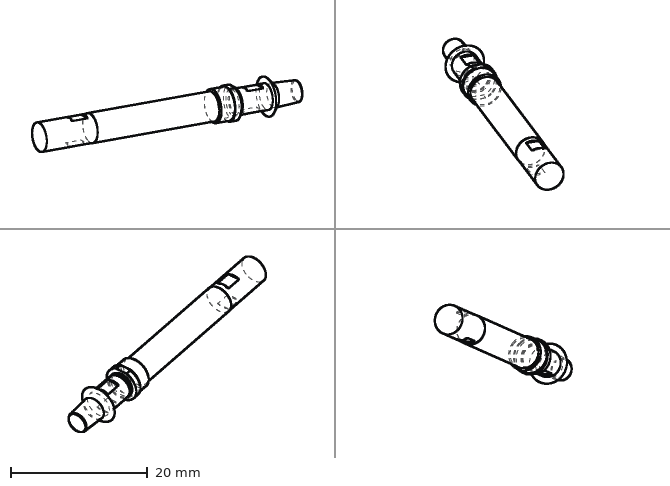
import cadquery as cq
import math

total_length = 43.4
tip_chamfer_end = 0.15
cone_end = 4.1
flare_end = 5.25
groove_start = 10.3
groove_end = 10.5
collar_start = 10.9
collar_end = 11.95
shoulder_end = 14.2
body_start = 14.4
body_end = 34.85

tip_face_radius = 1.55
tip_radius = 1.65
cone_base_radius = 1.85
flare_radius = 3.0
neck_radius = 2.0
groove_root_radius = 1.85
collar_radius = 2.72
shoulder_radius = 2.55
body_radius = 2.25
tail_radius = 2.21

flat_width = 2.0
neck_flat_start = 6.3
neck_flat_end = 8.9
tail_flat_start = 35.85
tail_flat_end = 38.4

collar_flat_height = 2.55


def turned_blank():
    """Solid of revolution about Y: tip at Y = total_length, plain end at Y = 0."""
    groove_middle = (groove_start + groove_end) / 2
    profile = [
        (0, 0),
        (tip_face_radius, 0),
        (tip_radius, tip_chamfer_end),
        (cone_base_radius, cone_end),
        (flare_radius, flare_end),
        (neck_radius, flare_end),
        (neck_radius, groove_start),
        (groove_root_radius, groove_middle),
        (neck_radius, groove_end),
        (neck_radius, collar_start),
        (collar_radius, collar_start),
        (collar_radius, collar_end),
        (shoulder_radius, collar_end),
        (shoulder_radius, shoulder_end),
        (body_radius, body_start),
        (body_radius, body_end),
        (tail_radius, body_end),
        (tail_radius, total_length),
        (0, total_length),
    ]
    points = [(radius, total_length - station) for radius, station in profile]
    return cq.Workplane("XY").polyline(points).close().revolve(360, (0, 0), (0, 1))


def cut_flat_pair(part, start, end, height):
    """Remove everything farther than height from the XY plane between two stations."""
    cutter_size = 2 * flare_radius
    middle = total_length - (start + end) / 2
    offset = height + cutter_size / 2
    for side in (1, -1):
        cutter = cq.Workplane("XY").box(cutter_size, end - start, cutter_size)
        part = part.cut(cutter.translate((0, middle, side * offset)))
    return part


def flat_height(radius):
    """Distance from the axis of a flat whose chord is flat_width wide."""
    return math.sqrt(radius**2 - (flat_width / 2) ** 2)


result = turned_blank()
result = cut_flat_pair(result, neck_flat_start, neck_flat_end, flat_height(neck_radius))
result = cut_flat_pair(result, tail_flat_start, tail_flat_end, flat_height(tail_radius))
result = cut_flat_pair(result, collar_start, collar_end, collar_flat_height)